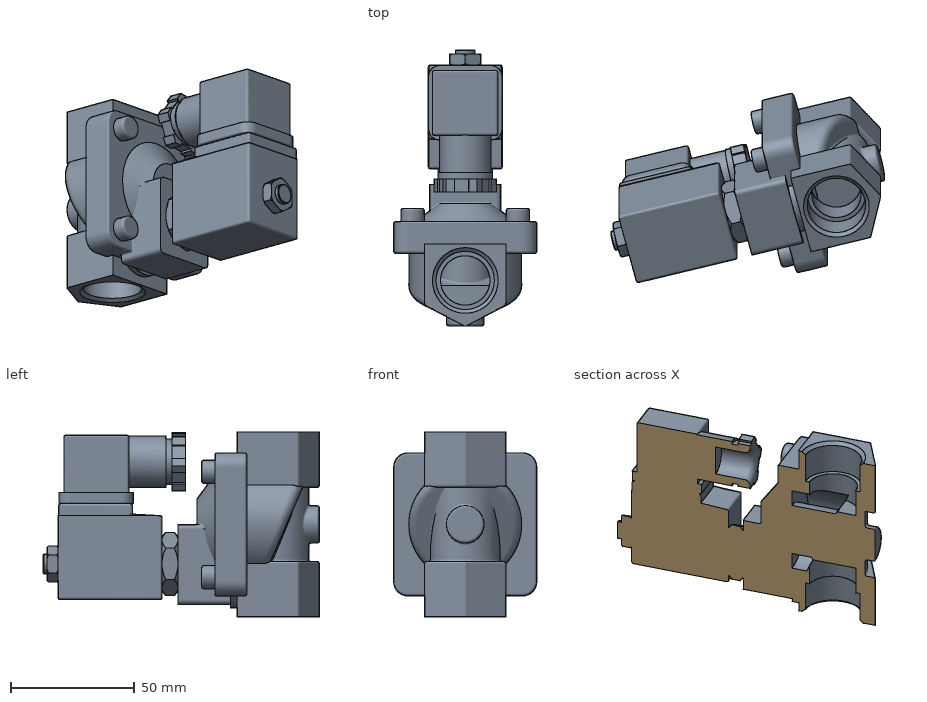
import cadquery as cq
import math


far = 60.0
overlap = 1.0
tolerance = 0.01

overall_length = 111.98

port_span = 75.0
block_height = 22.5
block_half_width = 16.5
block_rear = 14.85
block_shoulder = -10.1
block_front = -18.5
block_edge_radius = 1.0
block_corner_radius = 1.0
thread_radius = 11.8
thread_depth = 13.5
thread_chamfer_width = 1.5
thread_chamfer_depth = 1.3
passage_radius = 10.0
passage_end = 12.45

body_radius = 22.9
neck_radius = 14.2
slant_at_axis = -5.2
slant_rate = 0.434
slant_edge_radius = 3.0
neck_fillet = 0.6
boss_radius = 7.6
boss_edge_radius = 1.0
boss_fillet = 0.8

chamber_radius = 18.0
seat_tube_radius = 11.4
chamber_floor_at_axis = 3.45
seat_tube_fillet = 0.8

flange_size = 58.0
flange_corner_radius = 5.8
flange_front = 10.9
joint = 17.6
cover_rear = 23.8
flange_edge_radius = 1.0
cover_edge_radius = 0.7
lug_radius = 13.0
lug_bottom = -33.8
bolt_spacing = 42.7
bolt_radius = 4.75
bolt_head_height = 5.4
bolt_edge_radius = 1.0
dome_top = 31.2
dome_top_radius = 10.2
dome_base_radius = 20.6

pilot_half_width = 14.4
pilot_rear = 38.9
pilot_top = -0.1
pilot_bottom = -32.5
pilot_corner_radius = 1.8
pilot_fillet = 0.6

coil_axis_z = -16.0
coil_front = 45.2
coil_rear = 87.4
coil_half_width = 15.0
coil_top = 3.6
coil_bottom = -30.5
coil_edge_radius = 1.0
tube_nut_flats = 22.2
tube_nut_chamfer = 1.4
lock_nut_flats = 12.7
lock_nut_height = 4.4
lock_nut_chamfer = 0.5
stud_radius = 4.0
stud_end = block_front + overall_length
stud_chamfer = 0.3

seat_front = 57.2
seat_rear = 87.2
seat_top = 8.4
seat_ramp_height = 0.6
seat_half_width = 14.7
seat_edge_radius = 1.0
gasket_half_width = 15.0
gasket_front = 56.9
gasket_rear = 87.1
gasket_top = 13.0
gasket_corner_radius = 4.7
gasket_edge_radius = 0.6

plug_half_width = 13.3
plug_front = 58.65
plug_rear = 85.1
plug_top = 36.2
plug_edge_radius = 1.0
gland_axis_z = 25.4
gland_radius = 10.5
gland_front = 43.7
collar_half_width = 10.95
collar_half_height = 9.3
knob_rear = 41.2
knob_front = 35.75
knob_corner_radius = 12.7
knob_turn = 8.0
knob_lobe_length = 3.4
knob_recess = 1.0
cable_bore_radius = 6.2
cable_bore_depth = 15.0
cable_mouth_radius = 2.7


def box(x0, x1, y0, y1, z0, z1):
    """Box between opposite limits along each axis."""
    corner_box = cq.Workplane("XY").box(x1 - x0, y1 - y0, z1 - z0, centered=False)
    return corner_box.translate((x0, y0, z0))


def plane_y(y, z=0):
    """Sketch plane facing +Y, centred at X = 0; its local X is -X."""
    return cq.Workplane(cq.Plane(origin=(0, y, z), xDir=(-1, 0, 0), normal=(0, 1, 0)))


def rod(radius, y0, y1, z=0):
    """Cylinder along Y."""
    return plane_y(y0, z).circle(radius).extrude(y1 - y0)


def below_slant(y_at_axis):
    """Large wedge in front of the sloping plane y = y_at_axis - slant_rate * z."""
    rise = slant_rate * far
    profile = [
        (-2 * far, -far),
        (y_at_axis + rise, -far),
        (y_at_axis - rise, far),
        (-2 * far, far),
    ]
    return cq.Workplane("YZ").polyline(profile).close().extrude(far, both=True)


def fillet_where(solid, radius, is_wanted):
    """Fillet the edges for which is_wanted(edge, centre, bounds) holds."""
    wanted = [edge for edge in solid.edges().vals() if is_wanted(edge, edge.Center(), edge.BoundingBox())]
    return solid.newObject(wanted).fillet(radius)


def hex_nut(flats, y0, y1, z, chamfer):
    """Hexagonal nut with corners up and down; its corners are turned off conically."""
    corner_radius = flats / math.sqrt(3)
    prism = plane_y(y0, z).polygon(6, 2 * corner_radius).extrude(y1 - y0)
    prism = prism.rotate((0, 0, z), (0, 1, z), 30)
    envelope = rod(corner_radius, y0, y1, z)
    envelope = envelope.faces("<Y or >Y").chamfer(chamfer, 2 * chamfer / math.sqrt(3))
    return prism.intersect(envelope)


def port_block(side):
    """Five-sided port block; side is +1 for the upper port and -1 for the lower."""
    slope_angle = math.atan((block_shoulder - block_front) / block_half_width)
    sharp_front = block_front - block_corner_radius * (1 / math.cos(slope_angle) - 1)
    outline = [
        (-block_half_width, block_rear),
        (-block_half_width, block_shoulder),
        (0, sharp_front),
        (block_half_width, block_shoulder),
        (block_half_width, block_rear),
    ]
    block = cq.Workplane("XY").polyline(outline).close().extrude(block_height)
    block = block.edges("|Z and (not >Y)").fillet(block_corner_radius)
    block = block.faces("<Z").edges("not >Y").fillet(block_edge_radius)
    block = block.translate((0, 0, port_span / 2 - block_height))
    if side < 0:
        block = block.mirror("XY")
    return block


def port_hole(side):
    """Chamfered thread bore followed by a narrower passage."""
    end = port_span / 2
    thread_end = end - thread_depth
    profile = [
        (0, passage_end),
        (passage_radius, passage_end),
        (passage_radius, thread_end),
        (thread_radius, thread_end),
        (thread_radius, end - thread_chamfer_depth),
        (thread_radius + thread_chamfer_width, end),
        (0, end),
    ]
    hole = cq.Workplane("XZ").polyline(profile).close().revolve(360, (0, 0), (0, 1))
    if side < 0:
        hole = hole.mirror("XY")
    return hole


def slanted_barrel():
    """Round body along Y whose front end is cut on a slant."""
    barrel = rod(body_radius, -far, joint).cut(below_slant(slant_at_axis))
    return barrel.faces("<Y").edges().fillet(slant_edge_radius)


def neck_and_boss():
    """Round neck between the port blocks with a boss on its front."""
    neck_half = port_span / 2 - block_height + block_edge_radius
    neck = cq.Workplane("XY").circle(neck_radius).extrude(neck_half, both=True)
    boss = rod(boss_radius, block_front, 0).faces("<Y").edges().fillet(boss_edge_radius)
    return fillet_where(
        neck.union(boss), boss_fillet,
        lambda edge, centre, bounds: edge.geomType() == "BSPLINE",
    )


def neck_flare():
    """Concave ring that blends the neck into the lower port block."""
    block_top = block_height - port_span / 2
    middle = neck_fillet * (1 - math.sqrt(0.5))
    flare_top = block_top + neck_fillet
    inner = neck_radius - overlap
    ring = cq.Workplane("XZ").moveTo(inner, block_top).lineTo(neck_radius + neck_fillet, block_top)
    ring = ring.threePointArc((neck_radius + middle, block_top + middle), (neck_radius, flare_top))
    ring = ring.lineTo(inner, flare_top).close()
    return ring.revolve(360, (0, 0), (0, 1))


def flange_plate(y0, y1):
    """Square plate with rounded corners."""
    plate = plane_y(y0).rect(flange_size, flange_size).extrude(y1 - y0)
    return plate.edges("|Y").fillet(flange_corner_radius)


def chamber():
    """Sloping-floored annular cavity behind the upper port."""
    ring = rod(chamber_radius, -far, joint).cut(rod(seat_tube_radius, -far, joint))
    ring = ring.cut(below_slant(chamber_floor_at_axis))

    def on_tube_foot(edge, centre, bounds):
        """Where the seat tube meets the sloping floor."""
        return edge.geomType() == "ELLIPSE" and bounds.xmax < seat_tube_radius + tolerance

    return fillet_where(ring, seat_tube_fillet, on_tube_foot)


def valve_body():
    body = fillet_where(
        slanted_barrel().union(neck_and_boss()), neck_fillet,
        lambda edge, centre, bounds: edge.geomType() == "ELLIPSE",
    )
    flange = flange_plate(flange_front, joint).faces("<Y").edges().fillet(flange_edge_radius)
    lug = rod(lug_radius, block_rear - overlap, joint, lug_bottom + lug_radius)
    body = body.union(flange).union(lug)
    for side in (1, -1):
        body = body.union(port_block(side))
    body = body.union(neck_flare())
    for side in (1, -1):
        body = body.cut(port_hole(side))
    return body.cut(chamber())


def cover():
    plate = flange_plate(joint, cover_rear).faces(">Y").edges().fillet(cover_edge_radius)
    dome_height = dome_top - cover_rear
    dome = plane_y(cover_rear).circle(dome_base_radius)
    dome = dome.workplane(offset=dome_height).circle(dome_top_radius).loft()
    pilot = box(-pilot_half_width, pilot_half_width, joint, pilot_rear, pilot_bottom, pilot_top)
    pilot = pilot.edges("|Y").fillet(pilot_corner_radius)
    solid = plate.union(dome).union(pilot)

    def meets_pilot(edge, centre, bounds):
        """Inside corners where the pilot block meets the dome and the plate."""
        on_dome_side = edge.geomType() in ("HYPERBOLA", "BSPLINE")
        on_dome_top = edge.geomType() == "LINE" and abs(centre.y - dome_top) < tolerance
        on_pilot_side = abs(abs(centre.x) - pilot_half_width) < tolerance
        on_plate = on_pilot_side and bounds.ymax < cover_rear + tolerance and bounds.ymin > joint + tolerance
        on_plate_underside = (
            on_pilot_side and bounds.ymax < cover_rear and abs(centre.z + flange_size / 2) < tolerance
        )
        return on_dome_side or on_dome_top or on_plate or on_plate_underside

    return fillet_where(solid, pilot_fillet, meets_pilot)


def bolts():
    heads = plane_y(cover_rear).rect(bolt_spacing, bolt_spacing, forConstruction=True).vertices()
    heads = heads.circle(bolt_radius).extrude(bolt_head_height)
    return heads.faces(">Y").edges().fillet(bolt_edge_radius)


def coil():
    housing = box(-coil_half_width, coil_half_width, coil_front, coil_rear, coil_bottom, coil_top)
    housing = housing.edges("|Z or <Z or (|X and <Y and >Z)").fillet(coil_edge_radius)
    tube_nut = hex_nut(tube_nut_flats, pilot_rear, coil_front, coil_axis_z, tube_nut_chamfer)
    lock_nut_rear = coil_rear + lock_nut_height
    lock_nut = hex_nut(lock_nut_flats, coil_rear, lock_nut_rear, coil_axis_z, lock_nut_chamfer)
    stud = rod(stud_radius, coil_rear, stud_end, coil_axis_z).faces(">Y").chamfer(stud_chamfer)
    return housing.union(tube_nut).union(lock_nut).union(stud)


def plug_seat():
    """Raised pad with a short ramp in front, topped by a gasket."""
    pad = box(-seat_half_width, seat_half_width, seat_front, seat_rear, coil_top - overlap, seat_top)
    pad = pad.edges("|Z or >Z").fillet(seat_edge_radius)
    ramp_front = coil_front + coil_edge_radius
    ramp_rear = seat_front + seat_edge_radius + overlap
    ramp_profile = [
        (ramp_rear, coil_top - overlap),
        (ramp_rear, coil_top + seat_ramp_height),
        (seat_front, coil_top + seat_ramp_height),
        (ramp_front, coil_top),
        (ramp_front, coil_top - overlap),
    ]
    ramp = cq.Workplane("YZ").polyline(ramp_profile).close().extrude(seat_half_width, both=True)
    gasket = box(-gasket_half_width, gasket_half_width, gasket_front, gasket_rear, seat_top, gasket_top)
    gasket = gasket.edges("|Z").fillet(gasket_corner_radius)
    gasket = gasket.faces("<Z").edges().fillet(gasket_edge_radius)
    return pad.union(ramp).union(gasket)


def knob():
    """Hexagonal gland nut with a shallow recess in the middle of each flat."""
    length = knob_rear - knob_front
    nut = plane_y(knob_front).polygon(6, 2 * knob_corner_radius).extrude(length)
    apothem = knob_corner_radius * math.cos(math.pi / 6)
    recess_width = knob_corner_radius - 2 * knob_lobe_length
    half = recess_width / 2
    for index in range(6):
        recess = box(-half, half, knob_front, knob_rear, apothem - knob_recess, knob_corner_radius)
        nut = nut.cut(recess.rotate((0, 0, 0), (0, 1, 0), 60 * index))
    return nut.rotate((0, 0, 0), (0, 1, 0), -knob_turn).translate((0, 0, gland_axis_z))


def cable_plug():
    housing = box(-plug_half_width, plug_half_width, plug_front, plug_rear, gasket_top, plug_top)
    housing = housing.edges("|Z or >Z").fillet(plug_edge_radius)
    gland = rod(gland_radius, gland_front, plug_front + plug_edge_radius, gland_axis_z)
    collar = plane_y(knob_rear, gland_axis_z).ellipse(collar_half_width, collar_half_height)
    collar = collar.extrude(gland_front - knob_rear)
    bore = rod(cable_bore_radius, knob_front, knob_front + cable_bore_depth, gland_axis_z)
    plug = housing.union(gland).union(collar).union(knob()).cut(bore)
    return fillet_where(
        plug, cable_mouth_radius,
        lambda edge, centre, bounds: edge.geomType() == "CIRCLE" and abs(centre.y - knob_front) < tolerance,
    )


result = valve_body().union(cover()).union(bolts()).union(coil()).union(plug_seat()).union(cable_plug())